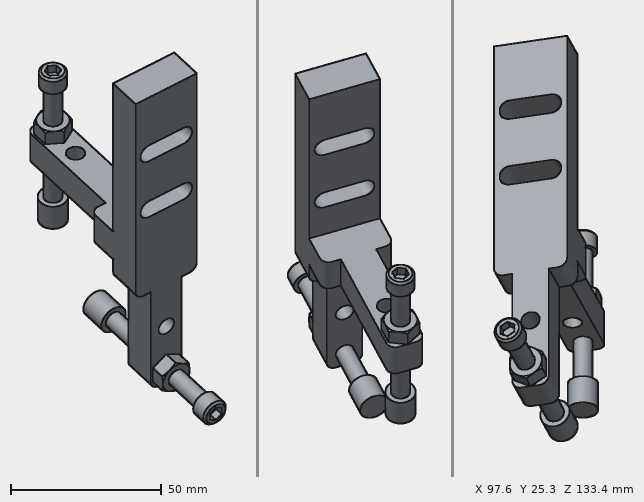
import cadquery as cq
import math

overall_height = 133.4
stock = 12.7
bar_width = 25.3
tongue_length = 44.4
corner_radius = 3.2
arm_bottom = 53.4
screw_hole_edge = stock / 2
arm_hole_spacing = 12.7
leg_hole_spacing = 19.1

slot_length = 21.3
slot_height = 7.2
slot_pitch = 25.3
slot_count = 2

screw_diameter = 6.4
shank_length = 50.8
head_diameter = 9.5
head_height = 6.4
head_chamfer = 0.8
socket_flats = 4.8
socket_depth = 3.2
arm_screw_reach = 21.7
leg_screw_reach = 21.3

nut_flats = 11.1
nut_height = 5.6
nut_chamfer_angle = 30.0

tip_diameter = 10.1
tip_length = 10.1

hex_ratio = 1 / math.cos(math.radians(30))
nut_corners = nut_flats * hex_ratio
nut_overhang = nut_corners / 2 - screw_hole_edge
upright_height = overall_height - nut_overhang
arm_length = tongue_length + stock
arm_screw_place = (screw_hole_edge - arm_length, 0, arm_bottom + stock)
leg_screw_place = (stock, 0, screw_hole_edge)


def tongued_bar(length, hole_spacing):
    """Flat bar along +X with a narrow rounded tongue starting at X = 0 and two holes in it."""
    tongue = (
        cq.Workplane("XY")
        .box(tongue_length, stock, stock, centered=(False, True, False))
        .edges("|Z and <X")
        .fillet(corner_radius)
    )
    wide_part = (
        cq.Workplane("XY")
        .box(length - tongue_length, bar_width, stock, centered=(False, True, False))
        .edges("|Z and <X")
        .fillet(corner_radius)
        .translate((tongue_length, 0, 0))
    )
    holes = (
        cq.Workplane("XY")
        .pushPoints([(screw_hole_edge, 0), (screw_hole_edge + hole_spacing, 0)])
        .circle(screw_diameter / 2)
        .extrude(stock)
    )
    return tongue.union(wide_part).cut(holes)


def make_bracket():
    """Upright with slots and a horizontal arm on its -X face, made as one piece."""
    upright = (
        tongued_bar(upright_height, leg_hole_spacing)
        .rotate((0, 0, 0), (0, 1, 0), -90)
        .translate((stock, 0, 0))
    )
    slots = (
        cq.Workplane("YZ")
        .pushPoints([(0, upright_height - slot_pitch * (i + 1)) for i in range(slot_count)])
        .slot2D(slot_length, slot_height)
        .extrude(stock)
    )
    arm = tongued_bar(arm_length, arm_hole_spacing).translate((-arm_length, 0, arm_bottom))
    return upright.cut(slots).union(arm)


def make_screw(reach):
    """Socket head cap screw with the underside of its head at Z = reach."""
    shank = (
        cq.Workplane("XY")
        .workplane(offset=reach - shank_length)
        .circle(screw_diameter / 2)
        .extrude(shank_length)
    )
    head = (
        cq.Workplane("XY")
        .workplane(offset=reach)
        .circle(head_diameter / 2)
        .extrude(head_height)
        .faces(">Z")
        .chamfer(head_chamfer)
    )
    socket = (
        cq.Workplane("XY")
        .workplane(offset=reach + head_height - socket_depth)
        .polygon(6, socket_flats * hex_ratio)
        .extrude(socket_depth)
    )
    return shank.union(head).cut(socket)


def make_nut():
    """Hex nut with corners on X; a cone trims its upper corners."""
    flat_radius = nut_flats / 2
    corner_drop = (nut_corners / 2 - flat_radius) * math.tan(math.radians(nut_chamfer_angle))
    trimming_body = (
        cq.Workplane("XZ")
        .moveTo(0, 0)
        .lineTo(nut_corners / 2, 0)
        .lineTo(nut_corners / 2, nut_height - corner_drop)
        .lineTo(flat_radius, nut_height)
        .lineTo(0, nut_height)
        .close()
        .revolve(360, (0, 0, 0), (0, 1, 0))
    )
    return (
        cq.Workplane("XY")
        .polygon(6, nut_corners)
        .extrude(nut_height)
        .intersect(trimming_body)
        .cut(cq.Workplane("XY").circle(screw_diameter / 2).extrude(nut_height))
    )


def make_tip(reach):
    """Round pad against the free end of the screw."""
    return (
        cq.Workplane("XY")
        .workplane(offset=reach - shank_length)
        .circle(tip_diameter / 2)
        .extrude(-tip_length)
    )


def placed_solid(body, place, tilt):
    """The body's solid, tilted about Y and moved to its nut seat."""
    return body.rotate((0, 0, 0), (0, 1, 0), tilt).translate(place).solids().val()


bracket = make_bracket().solids()
screws = []
nuts = []
tips = []
for reach, place, tilt in (
    (arm_screw_reach, arm_screw_place, 0),
    (leg_screw_reach, leg_screw_place, 90),
):
    screws.append(placed_solid(make_screw(reach), place, tilt))
    nuts.append(placed_solid(make_nut(), place, tilt))
    tips.append(placed_solid(make_tip(reach), place, tilt))

result = cq.Compound.makeCompound([bracket.val(), *screws, *nuts, *tips])